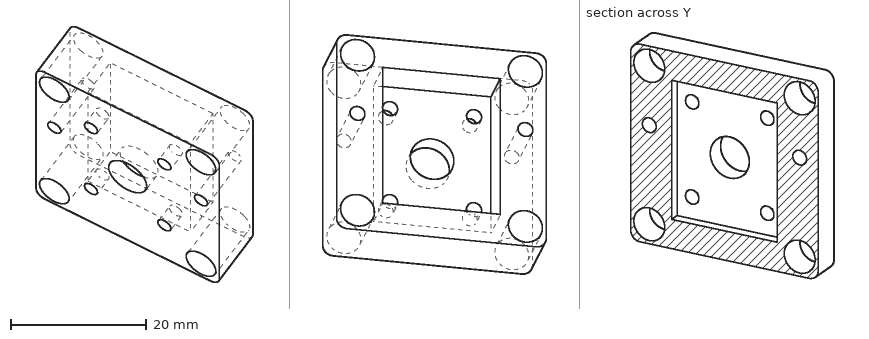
import cadquery as cq

side = 31.75
thickness = 9.52
corner_radius = 1.6

pocket_width = 17.78
pocket_height = 22.22
front_plate = 3.18
pocket_depth = thickness - front_plate

corner_hole_diameter = 5.15
corner_hole_offset = 12.7
center_bore_diameter = 6.57
small_hole_diameter = 2.25
inner_hole_x = 6.35
inner_hole_z = 7.62
side_hole_z = 3.18


def mirrored_points(x, z):
    """The four (x, z) positions mirrored about both center planes."""
    return [(sign_x * x, sign_z * z) for sign_x in (-1, 1) for sign_z in (-1, 1)]


def drill(body, points, diameter):
    """Cut through holes at (x, z) points from the front face."""
    return body.faces("<Y").workplane(origin=(0, 0, 0)).pushPoints(points).hole(diameter)


block = cq.Workplane("XY").box(side, thickness, side).edges("|Y").fillet(corner_radius)

pocket_outline = block.faces(">Y").workplane(origin=(0, 0, 0)).rect(pocket_width, pocket_height)
block = pocket_outline.cutBlind(-pocket_depth)

corner_holes = mirrored_points(corner_hole_offset, corner_hole_offset)
inner_holes = mirrored_points(inner_hole_x, inner_hole_z)
side_holes = [(-corner_hole_offset, side_hole_z), (corner_hole_offset, side_hole_z)]

block = drill(block, corner_holes, corner_hole_diameter)
block = drill(block, inner_holes + side_holes, small_hole_diameter)
result = drill(block, [(0, 0)], center_bore_diameter)